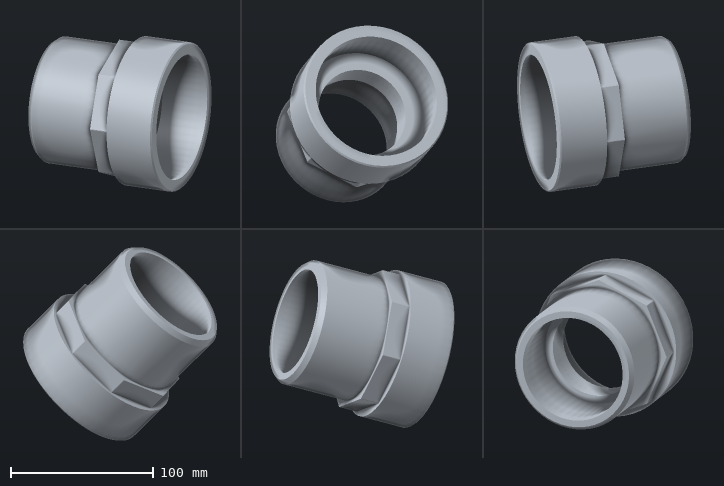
import cadquery as cq
import math

total_length = 99.0

spigot_diameter = 90.0
spigot_length = 51.0
spigot_chamfer_length = 3.6
spigot_chamfer_depth = 2.7

collar_corner_diameter = 101.9
collar_rounding_diameter = 101.7
collar_sides = 8
collar_width = 13.6

socket_diameter = 106.0
socket_edge_chamfer = 1.0

spigot_bore_diameter = 75.0
spigot_bore_depth = 44.0
throat_diameter = 63.8
socket_bore_diameter = 88.9

socket_start = spigot_length + collar_width
socket_length = total_length - socket_start


def plane_at(x):
    """Work plane at the given X, with its normal along +X."""
    return cq.Workplane("YZ", origin=(x, 0, 0))


def cylinder(diameter, start, length):
    """Solid cylinder on the X axis."""
    return plane_at(start).circle(diameter / 2).extrude(length)


def make_spigot():
    """Tube end with a long lead-in chamfer on its free edge."""
    spigot = cylinder(spigot_diameter, 0, spigot_length)
    radius = spigot_diameter / 2
    chamfer_profile = [
        (0, radius - spigot_chamfer_depth),
        (spigot_chamfer_length, radius),
        (0, radius),
    ]
    chamfer_ring = (
        cq.Workplane("XY").polyline(chamfer_profile).close().revolve(360, (0, 0, 0), (1, 0, 0))
    )
    return spigot.cut(chamfer_ring)


def make_collar():
    """Octagonal prism, trimmed by a cylinder at its corners, between the spigot and the socket."""
    corner_radius = collar_corner_diameter / 2
    corner_step = 2 * math.pi / collar_sides
    corners = [
        (corner_radius * math.cos(i * corner_step), corner_radius * math.sin(i * corner_step))
        for i in range(collar_sides)
    ]
    octagon = plane_at(spigot_length).polyline(corners).close().extrude(collar_width)
    rounding = cylinder(collar_rounding_diameter, spigot_length, collar_width)
    return octagon.intersect(rounding)


def make_socket():
    """Large cylinder with a small chamfer around its open end."""
    socket = cylinder(socket_diameter, socket_start, socket_length)
    return socket.faces(">X").edges().chamfer(socket_edge_chamfer)


def make_bores():
    """Spigot bore and socket bore joined by the narrower throat."""
    spigot_bore = cylinder(spigot_bore_diameter, 0, spigot_bore_depth)
    throat = cylinder(throat_diameter, 0, total_length)
    socket_bore = cylinder(socket_bore_diameter, socket_start, socket_length)
    return spigot_bore.union(throat).union(socket_bore)


body = make_spigot().union(make_collar()).union(make_socket())
result = body.cut(make_bores())